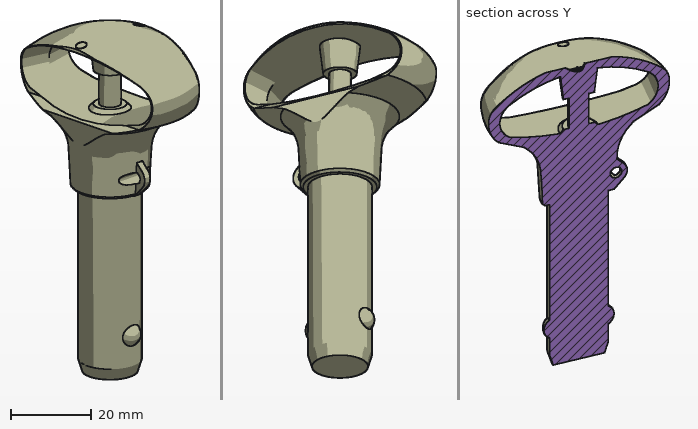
import cadquery as cq
import math


shank_radius = 8.0
shank_length = 49.0
tip_radius = 7.0
tip_height = 3.2

ball_radius = 3.2
ball_reach = 9.55
ball_height = -37.7

collar_base_radius = 9.9
collar_chamfer = 0.7
collar_top_radius = 10.45
collar_top_height = 11.3

flare_radius = 14.8
flare_height = 19.2
underside_radius = 21.65
underside_height = 22.5
handle_radius = 24.5
handle_mid_height = 28.9
shoulder_radius = 21.9
shoulder_height = 34.0
top_radius = 9.0
top_height = 40.5
dome_bulge = 0.8
rim_bulge = 0.75
flare_bulge = 0.85

flat_half_width = 11.55
flat_top_height = 20.2
flat_bottom_half_width = 10.8
waist_end_half_width = 9.4
waist_bottom_height = 22.4
waist_half_width = 8.3
waist_mid_height = (waist_bottom_height + shoulder_height) / 2
crown_half_width = 12.4
crown_height = 38.7
crown_edge_half_width = 12.05
crown_edge_height = 39.6
crown_edge_bulge = 0.1

opening_half_length = 21.3
opening_mid_height = 28.1
opening_corner_reach = 18.6
opening_floor_height = 20.75
opening_floor_corner = 23.4
opening_ceiling_height = 38.4
opening_ceiling_corner = 33.2
opening_end_flare = 1.9
opening_ceiling_corner_flare = 1.2
opening_ceiling_flare = 0.4
opening_clearance = 0.6

button_top_radius = 5.1
button_bottom_radius = 4.2
button_bottom_height = 30.9
stem_radius = 2.75
seat_base_radius = 5.4
seat_top_radius = 4.2
seat_top_height = 21.9
joint_overlap = 1.0

rivet_radius = 1.4
rivet_offset = 10.2
rivet_sink = 0.1

tab_hole_x = 10.0
tab_hole_height = 5.0
tab_hole_radius = 1.5
tab_outer_radius = 3.1
tab_foot_x = 9.5
tab_thickness = 2.0


def bulged_midpoint(start, end, bulge):
    """Point beside the middle of a chord, moved to the right of its direction by the bulge."""
    length = math.dist(start, end)
    across = (end[1] - start[1]) / length
    along = (end[0] - start[0]) / length
    return (
        (start[0] + end[0]) / 2 + bulge * across,
        (start[1] + end[1]) / 2 - bulge * along,
    )


def cone(bottom_radius, bottom_height, upper_radius, upper_height):
    bottom = [(0, bottom_height), (bottom_radius, bottom_height)]
    upper = [(upper_radius, upper_height), (0, upper_height)]
    return cq.Workplane("XZ").polyline(bottom + upper).close().revolve(360, (0, 0), (0, 1))


def make_turned_body():
    """Shank, collar and handle as one solid of revolution; its seam lies away from the tab hole."""
    neck = (collar_top_radius, collar_top_height)
    flare = (flare_radius, flare_height)
    underside = (underside_radius, underside_height)
    middle = (handle_radius, handle_mid_height)
    shoulder = (shoulder_radius, shoulder_height)
    top = (top_radius, top_height)
    return (
        cq.Workplane("YZ")
        .moveTo(0, -shank_length)
        .lineTo(tip_radius, -shank_length)
        .lineTo(shank_radius, -shank_length + tip_height)
        .lineTo(shank_radius, 0)
        .lineTo(collar_base_radius - collar_chamfer, 0)
        .lineTo(collar_base_radius, collar_chamfer)
        .lineTo(*neck)
        .threePointArc(bulged_midpoint(neck, flare, -flare_bulge), flare)
        .lineTo(*underside)
        .threePointArc(bulged_midpoint(underside, middle, rim_bulge), middle)
        .threePointArc(bulged_midpoint(middle, shoulder, rim_bulge), shoulder)
        .threePointArc(bulged_midpoint(shoulder, top, dome_bulge), top)
        .lineTo(0, top_height)
        .close()
        .revolve(360, (0, 0), (0, 1))
    )


def make_side_envelope():
    """Prism along X whose outline is the waisted shape of the handle sides."""
    envelope_half_length = 2 * handle_radius
    crown = (crown_half_width, crown_height)
    crown_edge = (crown_edge_half_width, crown_edge_height)
    half = (
        cq.Workplane("YZ")
        .moveTo(0, -shank_length)
        .lineTo(flat_half_width, -shank_length)
        .lineTo(flat_half_width, collar_top_height)
        .lineTo(flat_bottom_half_width, collar_top_height)
        .lineTo(flat_half_width, flat_top_height)
        .lineTo(waist_end_half_width, waist_bottom_height)
        .threePointArc((waist_half_width, waist_mid_height), (waist_end_half_width, shoulder_height))
        .lineTo(*crown)
        .threePointArc(bulged_midpoint(crown, crown_edge, crown_edge_bulge), crown_edge)
        .lineTo(crown_edge_half_width, top_height)
        .lineTo(0, top_height)
        .mirrorY()
    )
    return half.extrude(envelope_half_length, both=True)


def opening_outline(distance):
    """Closed wire of the opening at a signed distance from the middle plane."""
    flare = abs(distance) / crown_half_width
    half_length = opening_half_length + flare * opening_end_flare
    ceiling_reach = opening_corner_reach + flare * opening_ceiling_corner_flare
    ceiling_corner = opening_ceiling_corner + flare * opening_ceiling_corner_flare
    ceiling = opening_ceiling_height + flare * opening_ceiling_flare
    outline = (
        cq.Workplane("XZ", origin=(0, distance, 0))
        .moveTo(-opening_corner_reach, opening_floor_corner)
        .threePointArc((0, opening_floor_height), (opening_corner_reach, opening_floor_corner))
        .threePointArc((half_length, opening_mid_height), (ceiling_reach, ceiling_corner))
        .threePointArc((0, ceiling), (-ceiling_reach, ceiling_corner))
        .threePointArc((-half_length, opening_mid_height), (-opening_corner_reach, opening_floor_corner))
        .close()
    )
    return outline.val()


def make_opening():
    depth = crown_half_width + opening_clearance
    wires = [opening_outline(distance) for distance in (-depth, 0, depth)]
    return cq.Workplane(cq.Solid.makeLoft(wires, True))


def make_button():
    button = cone(button_bottom_radius, button_bottom_height, button_top_radius, opening_ceiling_height)
    seat_root_height = opening_floor_height - joint_overlap
    stem = cone(stem_radius, seat_root_height, stem_radius, button_bottom_height + joint_overlap)
    seat = cone(seat_base_radius, opening_floor_height, seat_top_radius, seat_top_height)
    seat_root = cone(seat_base_radius, seat_root_height, seat_base_radius, opening_floor_height)
    return button.union(stem).union(seat).union(seat_root)


def make_ball(side):
    center_x = side * (ball_reach - ball_radius)
    return cq.Workplane("XY").sphere(ball_radius).translate((center_x, 0, ball_height))


def make_rivet_recess(side, turned_body):
    """Shallow round recess whose floor runs parallel to the dome."""
    pocket = (
        cq.Workplane("XY", origin=(0, side * rivet_offset, crown_height))
        .circle(rivet_radius)
        .extrude(top_height - crown_height)
    )
    return pocket.cut(turned_body.translate((0, 0, -rivet_sink)))


def add_tab(body):
    """Thin plate beside the collar, with a hole that also passes through the collar wall."""
    diagonal = tab_outer_radius * math.sqrt(0.5)
    right_x = tab_hole_x + diagonal
    root_x = shank_radius - joint_overlap
    top_root_height = tab_hole_height + diagonal + right_x - root_x
    tip = (tab_hole_x + tab_outer_radius, tab_hole_height)
    tab = (
        cq.Workplane("XZ")
        .moveTo(root_x, 0)
        .lineTo(tab_foot_x, 0)
        .lineTo(right_x, tab_hole_height - diagonal)
        .threePointArc(tip, (right_x, tab_hole_height + diagonal))
        .lineTo(root_x, top_root_height)
        .close()
        .extrude(tab_thickness / 2, both=True)
    )
    hole = (
        cq.Workplane("XZ")
        .center(tab_hole_x, tab_hole_height)
        .circle(tab_hole_radius)
        .extrude(2 * collar_top_radius, both=True)
    )
    return body.union(tab).cut(hole)


turned_body = make_turned_body()
body = turned_body.intersect(make_side_envelope()).cut(make_opening())
body = body.union(make_button())
for side in (-1, 1):
    body = body.union(make_ball(side))
    body = body.cut(make_rivet_recess(side, turned_body))
result = add_tab(body)